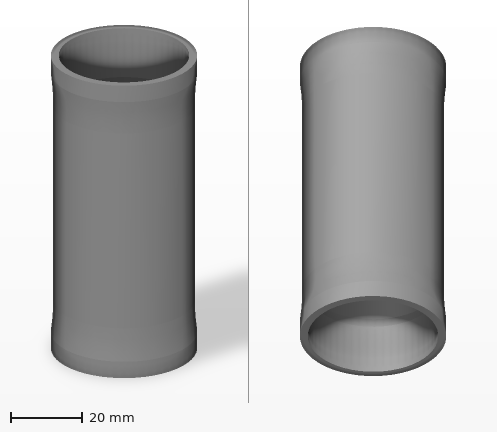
import cadquery as cq
import math

length = 90.0
collar_diameter = 41.0
body_diameter = 39.7
end_bore_diameter = 36.5
middle_bore_diameter = 38.0

collar_length = 5.0
flare_end = 15.0
bore_taper_length = 3.0

collar_radius = collar_diameter / 2
body_radius = body_diameter / 2
end_bore_radius = end_bore_diameter / 2
middle_bore_radius = middle_bore_diameter / 2
half_length = length / 2

flare_length = flare_end - collar_length
flare_rise = collar_radius - body_radius
flare_arc_radius = (flare_length**2 + flare_rise**2) / (2 * flare_rise)
flare_middle_rise = flare_arc_radius - math.sqrt(flare_arc_radius**2 - (flare_length / 2) ** 2)

collar_z = half_length - collar_length
flare_z = half_length - flare_end
flare_middle_z = (collar_z + flare_z) / 2
taper_end_z = flare_z - bore_taper_length

flare_start = (body_radius, flare_z)
flare_middle = (body_radius + flare_middle_rise, flare_middle_z)
flare_tip = (collar_radius, collar_z)


def below(point):
    """Mirror a (radius, height) point in the middle plane."""
    radius, height = point
    return (radius, -height)


wall_section = (
    cq.Workplane("XZ")
    .moveTo(collar_radius, -half_length)
    .lineTo(*below(flare_tip))
    .threePointArc(below(flare_middle), below(flare_start))
    .lineTo(*flare_start)
    .threePointArc(flare_middle, flare_tip)
    .lineTo(collar_radius, half_length)
    .lineTo(end_bore_radius, half_length)
    .lineTo(end_bore_radius, flare_z)
    .lineTo(middle_bore_radius, taper_end_z)
    .lineTo(middle_bore_radius, -taper_end_z)
    .lineTo(end_bore_radius, -flare_z)
    .lineTo(end_bore_radius, -half_length)
    .close()
)

result = wall_section.revolve(360, (0, 0, 0), (0, 1, 0))